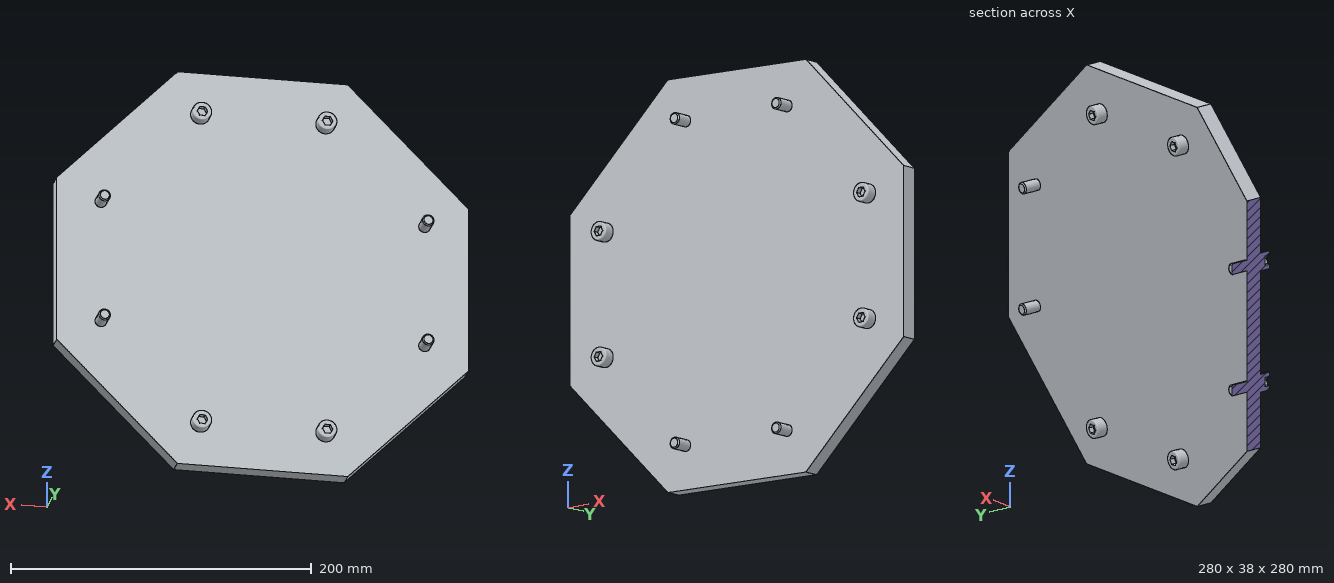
import cadquery as cq
import math

octagon_sides = 8
plate_width = 280.0
plate_thickness = 12.0
overall_depth = 38.0

shank_diameter = 7.8
shank_chamfer = 0.8
head_diameter = 13.0
head_height = 7.8
head_fillet = 0.8
socket_across_flats = 6.2
socket_depth = 4.0
socket_sides = 6

far_offset = 110.0
near_offset = 42.5

half_thickness = plate_thickness / 2
tip_reach = overall_depth / 2
head_top = half_thickness + head_height
half_octagon_step = 180 / octagon_sides


def make_plate():
    """Regular octagon with flats square to X and Z."""
    corner_diameter = plate_width / math.cos(math.radians(half_octagon_step))
    return (
        cq.Workplane("XY")
        .polygon(octagon_sides, corner_diameter)
        .extrude(plate_thickness)
        .translate((0, 0, -half_thickness))
        .rotate((0, 0, 0), (0, 0, 1), half_octagon_step)
        .rotate((0, 0, 0), (1, 0, 0), 90)
    )


def make_screw():
    """Screw on the Y axis, with its head on the -Y side of the plate."""
    shank = (
        cq.Workplane("XZ", origin=(0, -half_thickness, 0))
        .circle(shank_diameter / 2)
        .extrude(-(half_thickness + tip_reach))
        .faces(">Y")
        .chamfer(shank_chamfer)
    )
    head = (
        cq.Workplane("XZ", origin=(0, -half_thickness, 0))
        .circle(head_diameter / 2)
        .extrude(head_height)
        .faces("<Y")
        .edges()
        .fillet(head_fillet)
    )
    socket_corner_diameter = socket_across_flats / math.cos(math.pi / socket_sides)
    socket = (
        cq.Workplane("XZ", origin=(0, -head_top, 0))
        .polygon(socket_sides, socket_corner_diameter)
        .extrude(-socket_depth)
    )
    return shank.union(head).cut(socket)


front_headed_screw = make_screw()
back_headed_screw = front_headed_screw.rotate((0, 0, 0), (0, 0, 1), 180)

result = make_plate()
for x_side in (-1, 1):
    for z_side in (-1, 1):
        side_place = (x_side * far_offset, 0, z_side * near_offset)
        result = result.union(front_headed_screw.translate(side_place))
        end_place = (x_side * near_offset, 0, z_side * far_offset)
        result = result.union(back_headed_screw.translate(end_place))